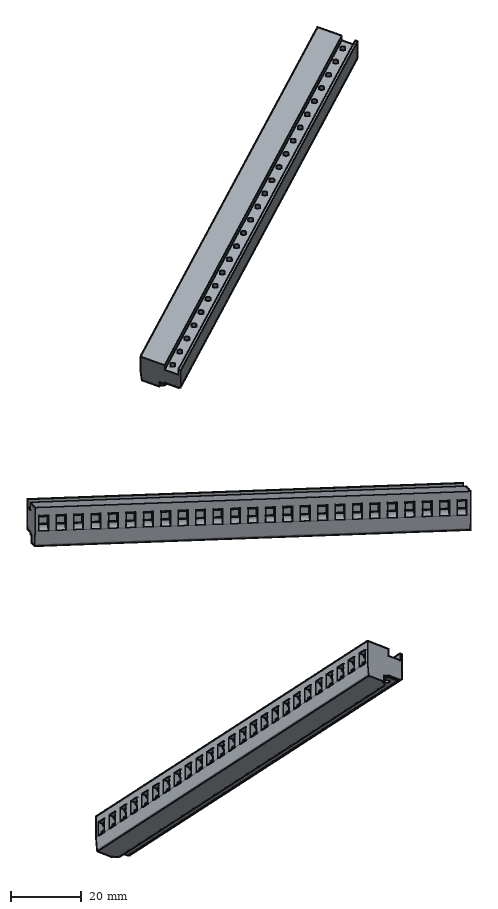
import cadquery as cq
import math

length = 125.0
width = 12.4
height = 11.2

pole_count = 25
pitch = length / pole_count

draft_start = 4.5
draft_inset = 0.4
bottom_bevel_height = 0.5
bottom_bevel_inset = 0.1
foot_right = 7.4
shelf_bottom = 2.6
shelf_corner_bevel = 0.5
groove_left = 7.5
groove_floor = 9.0
lip_thickness = 0.8

rib_right = 11.1
rib_depth = 0.4
rib_end_gap = 0.4

corner_radius = 1.5
corner_setback = 0.5
corner_height = 2.1

entry_width = 2.8
entry_top = 8.9
entry_depth = 2.2
ceiling_radius = 0.8
ramp_depth = 1.1
ramp_top = 6.1
ramp_sag = 0.4

hole_x = 8.9
hole_diameter = 1.5


def extrude_along_y(outline, y_start, distance):
    """Extrude an XZ outline from y_start towards +Y."""
    return outline.extrude(-distance).translate((0, y_start, 0))


def make_body():
    outline = (
        cq.Workplane("XZ")
        .moveTo(0, height)
        .lineTo(0, draft_start)
        .lineTo(draft_inset, bottom_bevel_height)
        .lineTo(draft_inset + bottom_bevel_inset, 0)
        .lineTo(foot_right, 0)
        .lineTo(foot_right, shelf_bottom)
        .lineTo(width - shelf_corner_bevel, shelf_bottom)
        .lineTo(width, shelf_bottom + shelf_corner_bevel)
        .lineTo(width, height)
        .lineTo(width - lip_thickness, height)
        .lineTo(width - lip_thickness, groove_floor)
        .lineTo(groove_left, groove_floor)
        .lineTo(groove_left, height)
        .close()
    )
    return extrude_along_y(outline, 0, length)


def make_rib():
    rib_width = rib_right - foot_right
    rib_length = length - 2 * rib_end_gap
    rib = cq.Workplane("XY").box(rib_width, rib_length, rib_depth, centered=False)
    return rib.translate((foot_right, rib_end_gap, shelf_bottom - rib_depth))


def make_corner_cut():
    """Space outside the set-back quarter round of the foot at the -Y end."""
    corner_left = foot_right - corner_radius
    arc_middle = corner_radius * math.sqrt(0.5)
    return (
        cq.Workplane("XY")
        .moveTo(corner_left, 0)
        .lineTo(corner_left, corner_setback)
        .threePointArc(
            (corner_left + arc_middle, corner_setback + corner_radius - arc_middle),
            (foot_right, corner_setback + corner_radius),
        )
        .lineTo(foot_right, 0)
        .close()
        .extrude(corner_height)
    )


def make_wire_entry(y):
    """Pocket with a rounded ceiling corner and a concave ramp rising to an inner ledge."""
    ramp_rise = ramp_top - draft_start
    ramp_chord = math.hypot(ramp_depth, ramp_rise)
    ramp_middle = (
        ramp_depth / 2 + ramp_sag * ramp_rise / ramp_chord,
        draft_start + ramp_rise / 2 - ramp_sag * ramp_depth / ramp_chord,
    )
    outline = (
        cq.Workplane("XZ")
        .moveTo(0, entry_top)
        .lineTo(entry_depth - ceiling_radius, entry_top)
        .radiusArc((entry_depth, entry_top - ceiling_radius), -ceiling_radius)
        .lineTo(entry_depth, ramp_top)
        .lineTo(ramp_depth, ramp_top)
        .threePointArc(ramp_middle, (0, draft_start))
        .close()
    )
    return extrude_along_y(outline, y - entry_width / 2, entry_width)


def make_pin_hole(y):
    return cq.Workplane("XY").center(hole_x, y).circle(hole_diameter / 2).extrude(height)


near_corner = make_corner_cut()
far_corner = near_corner.mirror("XZ").translate((0, length, 0))

result = make_body().cut(near_corner).cut(far_corner).union(make_rib())
for pole in range(pole_count):
    pole_y = (pole + 0.5) * pitch
    result = result.cut(make_wire_entry(pole_y)).cut(make_pin_hole(pole_y))